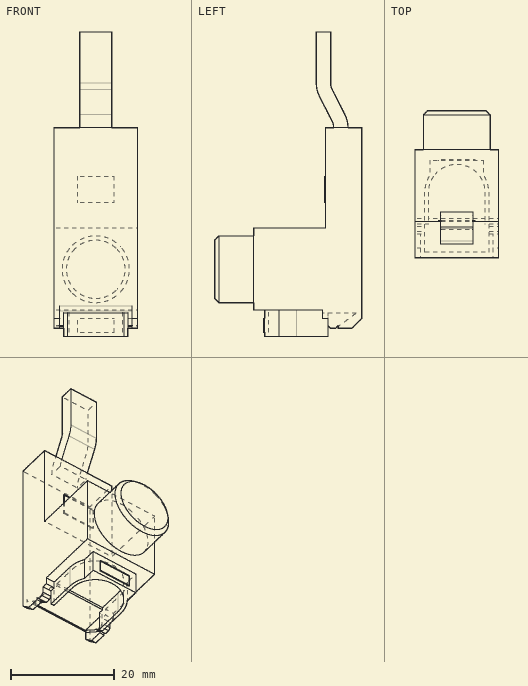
import cadquery as cq
import math


width = 16.2
column_depth = 7.1
column_top = 40.5
block_back = 20.95
block_bottom = 5.15
block_top = 21.05

foot_bottom = 1.6
foot_chamfer = 1.95
leg_back = 4.6
leg_notch_height = 0.55
lip_start = 5.1
lip_end = 6.1
lip_chamfer = 0.5
foot_step_front = 6.55
foot_step_back = 7.6
foot_step_height = 3.55

leg_thickness = 1.05
ramp_top = 5.35
ramp_rounding = 1.2
opening_top = 4.55

bore_diameter = 11.0
shroud_wall = 0.7
shroud_radius = bore_diameter / 2 + shroud_wall
shroud_front = foot_step_front
shroud_centre = 12.6
shroud_heel_front = 16.05
shroud_back = shroud_centre + shroud_radius

pad_height = 0.2
pad_width = 7.0
column_pad_bottom = 26.0
column_pad_top = 31.05
shroud_pad_bottom = 0.8
shroud_pad_top = 3.55

knob_diameter = 13.0
knob_back = 28.5
knob_chamfer = 0.8
knob_centre = 13.05

blade_width = 6.2
blade_thickness = 2.85
blade_top = 59.0
blade_lower_y = 4.1
blade_upper_y = 7.45
bend_angle = math.radians(27)
bend_inner_radius = 2.7


def extrude_along_x(points, length):
    """Extrude a (Y, Z) outline symmetrically about X = 0."""
    return cq.Workplane("YZ").polyline(points).close().extrude(length / 2, both=True)


def centred_box(x_size, y_range, z_range):
    """Box centred on X = 0 between the given Y and Z limits."""
    y_min, y_max = y_range
    z_min, z_max = z_range
    size = (x_size, y_max - y_min, z_max - z_min)
    return cq.Workplane().box(*size, centered=(True, False, False)).translate((0, y_min, z_min))


def make_housing():
    outline = [
        (0, column_top),
        (column_depth, column_top),
        (column_depth, block_top),
        (block_back, block_top),
        (block_back, block_bottom),
        (foot_step_back, block_bottom),
        (foot_step_back, foot_step_height),
        (foot_step_front, foot_step_height),
        (foot_step_front, foot_bottom + lip_chamfer),
        (lip_end, foot_bottom),
        (lip_start, foot_bottom),
        (leg_back, foot_bottom + leg_notch_height),
        (leg_back, foot_bottom),
        (foot_chamfer, foot_bottom),
        (0, foot_bottom + foot_chamfer),
    ]
    return extrude_along_x(outline, width)


def make_ramp_recess():
    """Wedge between the legs, with the rounded upper front edge of the ramp."""
    ramp_angle = math.atan2(ramp_top - foot_bottom, lip_start)
    turn = math.pi / 2 - ramp_angle
    tangent = ramp_rounding * math.tan(turn / 2)
    ramp_point = (tangent * math.cos(ramp_angle), ramp_top - tangent * math.sin(ramp_angle))
    middle_point = (
        ramp_rounding * (1 - math.cos(turn / 2)),
        ramp_top + tangent - ramp_rounding * math.sin(turn / 2),
    )
    wedge = (
        cq.Workplane("YZ")
        .moveTo(0, ramp_top + tangent)
        .threePointArc(middle_point, ramp_point)
        .lineTo(lip_start, foot_bottom)
        .lineTo(0, foot_bottom)
        .close()
    )
    return wedge.extrude(width / 2 - leg_thickness, both=True)


def make_u_prism(radius, height):
    """Vertical prism with a straight front part and a half-round back."""
    return (
        cq.Workplane()
        .moveTo(-radius, shroud_front)
        .lineTo(-radius, shroud_centre)
        .threePointArc((0, shroud_centre + radius), (radius, shroud_centre))
        .lineTo(radius, shroud_front)
        .close()
        .extrude(height)
    )


def make_shroud():
    """Half-round shroud squared off by a heel at its back, with a vertical wire bore."""
    heel_half_width = math.sqrt(shroud_radius**2 - (shroud_heel_front - shroud_centre) ** 2)
    heel = centred_box(2 * heel_half_width, (shroud_heel_front, shroud_back), (0, block_bottom))
    pad = centred_box(
        pad_width,
        (shroud_heel_front, shroud_back + pad_height),
        (shroud_pad_bottom, shroud_pad_top),
    )
    shroud = make_u_prism(shroud_radius, block_bottom).union(heel).union(pad)
    return shroud.cut(make_u_prism(bore_diameter / 2, block_bottom))


def make_knob():
    plane = cq.Workplane("XZ", origin=(0, block_back, knob_centre))
    knob = plane.circle(knob_diameter / 2).extrude(block_back - knob_back)
    return knob.faces(">Y").chamfer(knob_chamfer)


def make_blade():
    """Double-bent strip whose root is sunk into the column."""
    half = blade_thickness / 2
    half_turn = math.tan(bend_angle / 2)
    outer_radius = bend_inner_radius + blade_thickness
    lower_kink = column_top + (bend_inner_radius + half) * half_turn
    upper_kink = lower_kink + (blade_upper_y - blade_lower_y) / math.tan(bend_angle)
    root = column_top - blade_thickness

    def side(offset):
        """Sharp-cornered outline of one face, offset in Y from the centreline."""
        shift = offset * half_turn
        return [
            (blade_lower_y + offset, root),
            (blade_lower_y + offset, lower_kink - shift),
            (blade_upper_y + offset, upper_kink - shift),
            (blade_upper_y + offset, blade_top),
        ]

    def kink_edge(blade, y, z):
        return blade.edges(cq.selectors.NearestToPointSelector((0, y, z)))

    front = side(-half)
    back = side(half)
    blade = extrude_along_x(front + back[::-1], blade_width)
    bends = [
        (front[1], outer_radius),
        (back[1], bend_inner_radius),
        (front[2], bend_inner_radius),
        (back[2], outer_radius),
    ]
    for kink, radius in bends:
        blade = kink_edge(blade, *kink).fillet(radius)
    return blade


shroud_opening = centred_box(2 * shroud_radius, (0, foot_step_back), (0, opening_top))
column_pad = centred_box(
    pad_width,
    (column_depth, column_depth + pad_height),
    (column_pad_bottom, column_pad_top),
)

result = (
    make_housing()
    .cut(make_ramp_recess())
    .cut(shroud_opening)
    .union(make_shroud())
    .union(make_knob())
    .union(make_blade())
    .union(column_pad)
)